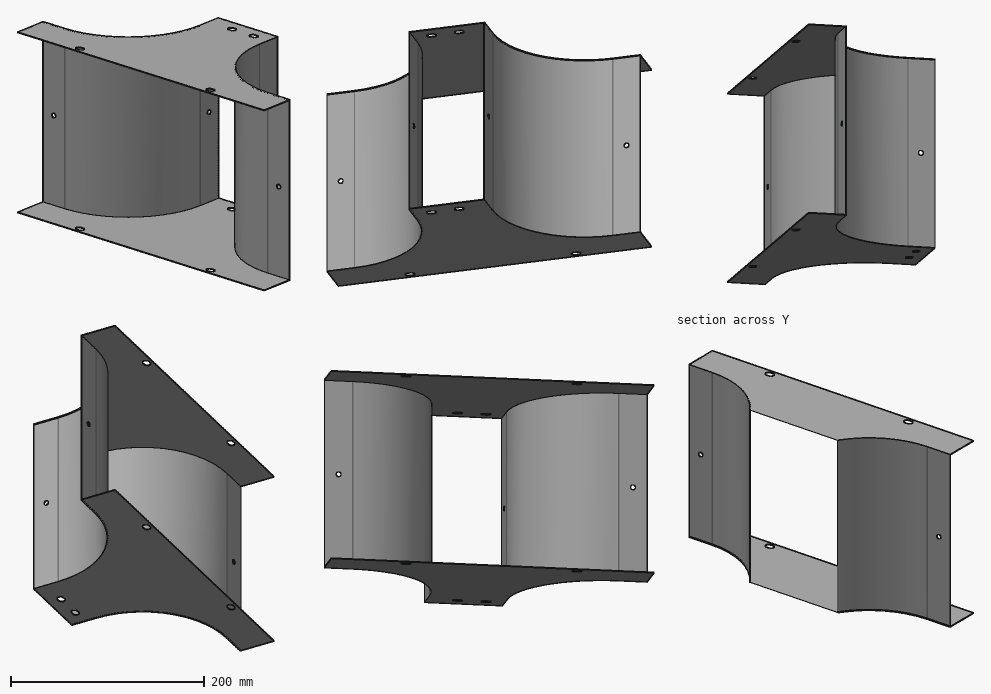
import cadquery as cq

length = 340.0
depth = 168.0
height = 201.0
sheet = 1.0

neck_half_width = 41.0
shoulder_depth = 40.0
end_straight = 30.0
half_length = length / 2
arc_end_x = half_length - end_straight
bend_radius = arc_end_x - neck_half_width
arc_end_y = shoulder_depth + bend_radius

hole_diameter = 5.0
hole_inset = 15.0
slot_length = 10.2
slot_width = 7.0
front_slot_x = 90.0
front_slot_y = 6.8
rear_slot_pitch = 30.0
rear_slot_middle_x = 6.0
rear_slot_xs = (rear_slot_middle_x - rear_slot_pitch / 2, rear_slot_middle_x + rear_slot_pitch / 2)


def tee_plate():
    """Flat tee with concave quarter-circle corners."""
    return (
        cq.Workplane("XY")
        .moveTo(-half_length, 0)
        .lineTo(half_length, 0)
        .lineTo(half_length, shoulder_depth)
        .lineTo(arc_end_x, shoulder_depth)
        .radiusArc((neck_half_width, arc_end_y), bend_radius)
        .lineTo(neck_half_width, depth)
        .lineTo(-neck_half_width, depth)
        .lineTo(-neck_half_width, arc_end_y)
        .radiusArc((-arc_end_x, shoulder_depth), bend_radius)
        .lineTo(-half_length, shoulder_depth)
        .close()
        .extrude(sheet)
    )


def right_wall():
    """Full-height wall, one sheet thick, inside the right edge of the tee."""
    inner_radius = bend_radius + sheet
    return (
        cq.Workplane("XY")
        .moveTo(half_length, shoulder_depth)
        .lineTo(arc_end_x, shoulder_depth)
        .radiusArc((neck_half_width, arc_end_y), bend_radius)
        .lineTo(neck_half_width, depth)
        .lineTo(neck_half_width - sheet, depth)
        .lineTo(neck_half_width - sheet, arc_end_y)
        .radiusArc((arc_end_x, shoulder_depth - sheet), -inner_radius)
        .lineTo(half_length, shoulder_depth - sheet)
        .close()
        .extrude(height)
    )


def plate_slots():
    """Cutters for the slots through both plates."""
    centers = [(side * front_slot_x, front_slot_y) for side in (-1, 1)]
    centers += [(x, depth - hole_inset) for x in rear_slot_xs]
    return cq.Workplane("XY").pushPoints(centers).slot2D(slot_length, slot_width).extrude(height)


def end_wall_holes():
    """Cutters for the holes through the wall ends, at mid-height."""
    hole_x = half_length - hole_inset
    along_y = (
        cq.Workplane("XZ")
        .pushPoints([(-hole_x, height / 2), (hole_x, height / 2)])
        .circle(hole_diameter / 2)
        .extrude(-depth)
    )
    along_x = (
        cq.Workplane("YZ")
        .center(depth - hole_inset, height / 2)
        .circle(hole_diameter / 2)
        .extrude(half_length, both=True)
    )
    return along_y.union(along_x)


wall = right_wall()
bottom_plate = tee_plate()
top_plate = bottom_plate.translate((0, 0, height - sheet))

result = bottom_plate.union(top_plate).union(wall).union(wall.mirror("YZ"))
result = result.cut(plate_slots()).cut(end_wall_holes())